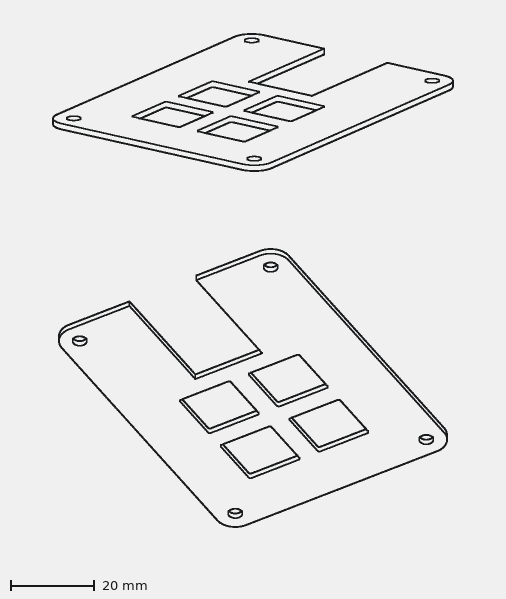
import cadquery as cq

plate_width = 62.9
plate_length = 82.95
plate_thickness = 1.5
corner_radius = 5.0

hole_diameter = 3.4
hole_inset = corner_radius

cutout_center_x = 0.5

notch_width = 18.5
notch_depth = 30.9

window_size = 14.0
window_pitch = 19.1
window_corner_radius = 0.5
window_rows = 2
window_columns = 2
window_grid_center_y = -10.8


def make_plate():
    """Flat plate with rounded vertical corners."""
    plate = cq.Workplane("XY").box(
        plate_width, plate_length, plate_thickness, centered=(True, True, False)
    )
    return plate.edges("|Z").fillet(corner_radius)


def make_mounting_holes():
    """Cylinders for the four through holes, one in each corner."""
    return (
        cq.Workplane("XY")
        .rect(plate_width - 2 * hole_inset, plate_length - 2 * hole_inset, forConstruction=True)
        .vertices()
        .circle(hole_diameter / 2)
        .extrude(plate_thickness)
    )


def make_notch():
    """Rectangular block for the notch that opens at the +Y edge."""
    notch_center_y = plate_length / 2 - notch_depth / 2
    return (
        cq.Workplane("XY")
        .center(cutout_center_x, notch_center_y)
        .rect(notch_width, notch_depth)
        .extrude(plate_thickness)
    )


def make_windows():
    """Square blocks with slightly rounded corners for the window grid."""
    return (
        cq.Workplane("XY")
        .center(cutout_center_x, window_grid_center_y)
        .rarray(window_pitch, window_pitch, window_columns, window_rows)
        .rect(window_size, window_size)
        .extrude(plate_thickness)
        .edges("|Z")
        .fillet(window_corner_radius)
    )


result = make_plate().cut(make_mounting_holes()).cut(make_notch()).cut(make_windows())